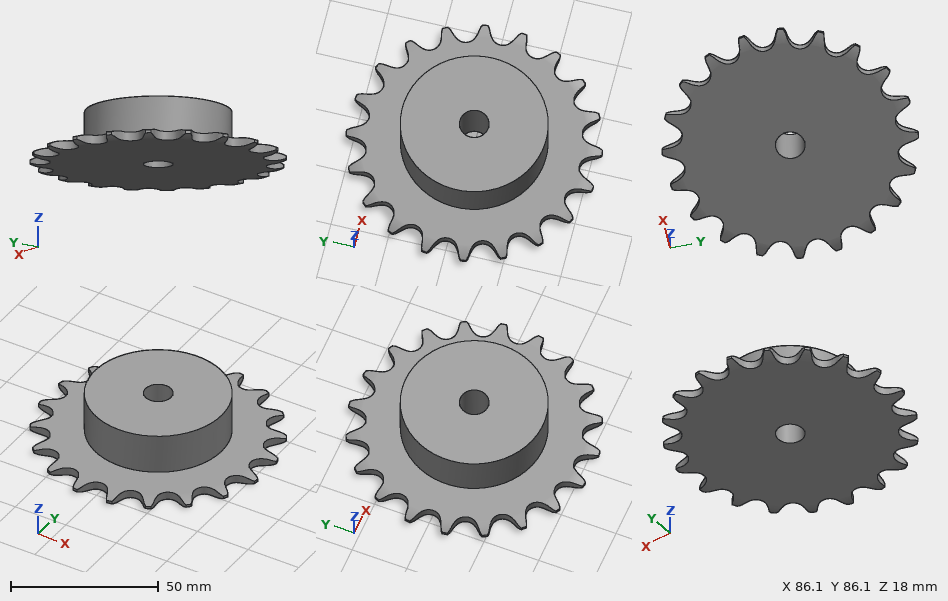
import cadquery as cq
import math

tooth_count = 20
pitch_diameter = 81.1
roller_diameter = 7.75
tip_diameter = 86.9
plate_thickness = 3.0
total_height = 18.0
hub_diameter = 50.0
bore_diameter = 10.0

crown_radius = 12.65
crown_start_radius = 38.5

seat_clearance = 0.035
seat_radius = 0.5025 * roller_diameter + seat_clearance
working_center_distance = 0.8 * roller_diameter
topping_center_distance = 1.4 * roller_diameter
working_radius = seat_radius + working_center_distance

half_pitch_angle = math.radians(180 / tooth_count)
seat_end_angle = math.radians(35 + 60 / tooth_count)
working_sweep = math.radians(18 - 56 / tooth_count)
flank_angle = seat_end_angle - working_sweep

pitch_radius = pitch_diameter / 2
tip_radius = tip_diameter / 2


def polar_point(center, radius, angle):
    return (center[0] + radius * math.cos(angle), center[1] + radius * math.sin(angle))


def mirrored(point):
    return (-point[0], point[1])


def make_tooth_gap():
    """Cutter for one tooth gap, symmetric about the Y axis and open outwards."""
    roller_center = (0, pitch_radius)
    seat_bottom = (0, pitch_radius - seat_radius)
    seat_end = polar_point(roller_center, seat_radius, -seat_end_angle)

    working_center = polar_point(roller_center, working_center_distance, math.pi - seat_end_angle)
    working_middle = polar_point(working_center, working_radius, working_sweep / 2 - seat_end_angle)
    working_end = polar_point(working_center, working_radius, -flank_angle)

    topping_center = polar_point(roller_center, topping_center_distance, -half_pitch_angle)
    to_center_x = topping_center[0] - working_end[0]
    to_center_y = topping_center[1] - working_end[1]
    topping_radius = to_center_x * math.cos(flank_angle) - to_center_y * math.sin(flank_angle)
    topping_start_angle = math.pi - flank_angle
    topping_start = polar_point(topping_center, topping_radius, topping_start_angle)

    topping_end_angle = math.pi - math.asin((tip_radius - topping_center[1]) / topping_radius)
    topping_middle_angle = (topping_start_angle + topping_end_angle) / 2
    topping_middle = polar_point(topping_center, topping_radius, topping_middle_angle)
    topping_end = polar_point(topping_center, topping_radius, topping_end_angle)

    return (
        cq.Workplane("XY")
        .moveTo(*mirrored(topping_end))
        .threePointArc(mirrored(topping_middle), mirrored(topping_start))
        .lineTo(*mirrored(working_end))
        .threePointArc(mirrored(working_middle), mirrored(seat_end))
        .threePointArc(seat_bottom, seat_end)
        .threePointArc(working_middle, working_end)
        .lineTo(*topping_start)
        .threePointArc(topping_middle, topping_end)
        .close()
        .extrude(plate_thickness)
    )


def make_plate_blank():
    """Disc whose rim is crowned by an arc on each face."""
    crown_angle = math.asin((tip_radius - crown_start_radius) / crown_radius)

    def crown_point(angle):
        radius = crown_start_radius + crown_radius * math.sin(angle)
        return radius, crown_radius * (1 - math.cos(angle))

    middle_radius, middle_drop = crown_point(crown_angle / 2)
    end_radius, end_drop = crown_point(crown_angle)
    return (
        cq.Workplane("XZ")
        .lineTo(crown_start_radius, 0)
        .threePointArc((middle_radius, middle_drop), (end_radius, end_drop))
        .lineTo(end_radius, plate_thickness - end_drop)
        .threePointArc(
            (middle_radius, plate_thickness - middle_drop),
            (crown_start_radius, plate_thickness),
        )
        .lineTo(0, plate_thickness)
        .close()
        .revolve(360, (0, 0, 0), (0, 1, 0))
    )


result = make_plate_blank()
tooth_gap = make_tooth_gap()
for index in range(tooth_count):
    result = result.cut(tooth_gap.rotate((0, 0, 0), (0, 0, 1), index * 360 / tooth_count))

hub = cq.Workplane("XY").circle(hub_diameter / 2).extrude(total_height)
bore = cq.Workplane("XY").circle(bore_diameter / 2).extrude(total_height)
result = result.union(hub).cut(bore)